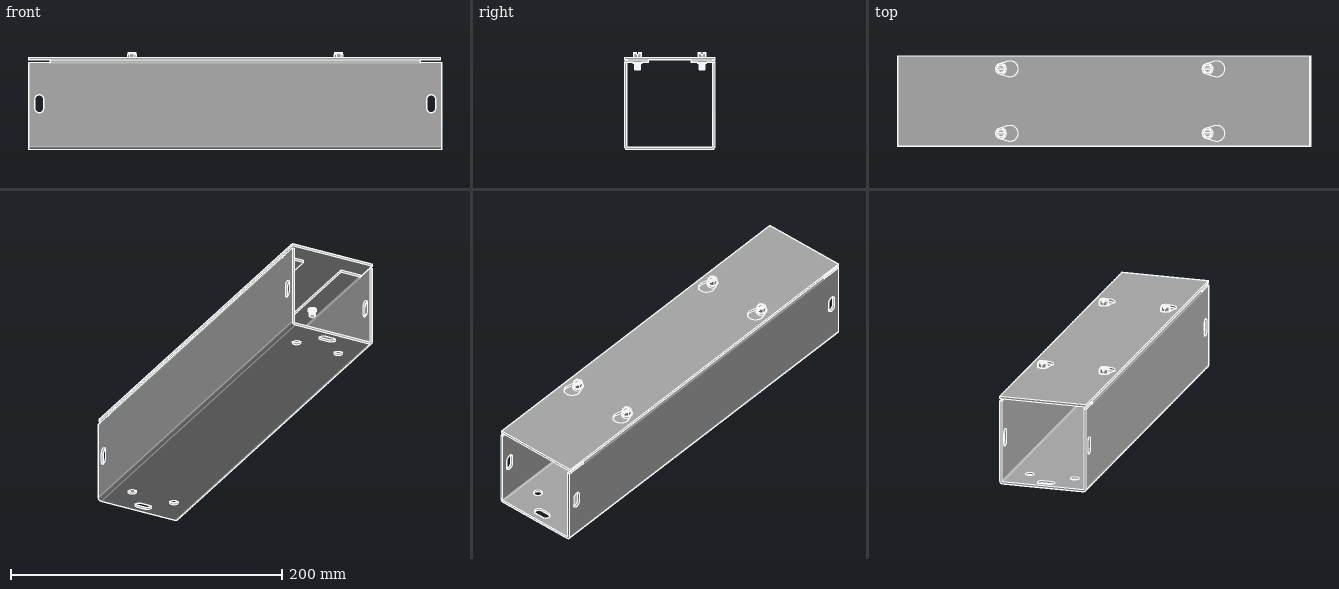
import cadquery as cq
import math

length = 304.8
width = 66.8
sheet = 1.8
bend_outer = 2.5
bend_inner = bend_outer - sheet
channel_height = 66.0
flange_width = 17.7
end_notch_length = 16.0
end_notch_depth = 1.8

slot_width = 6.5
slot_length = 13.0
slot_inset = 8.0
slot_height = 33.8
floor_hole_diameter = 6.5
floor_hole_inset = 23.5
floor_hole_y = 17.5

lid_length = 304.0

screw_x = 76.2
screw_y = 23.8
screw_positions = [(x, y) for x in (-screw_x, screw_x) for y in (-screw_y, screw_y)]
thread_diameter = 4.5
thread_root_diameter = 4.0
thread_pitch = 1.0
thread_turns = 8
washer_diameter = 8.0
washer_thickness = 1.5
head_top = 71.5
head_across_flats = 5.8
head_recess_diameter = 5.2
head_recess_depth = 0.5
driver_slot_width = 1.2
driver_slot_depth = 1.5

collar_diameter = 6.5
collar_height = 1.0

keyhole_large_diameter = 12.0
keyhole_large_radius = keyhole_large_diameter / 2
keyhole_small_radius = washer_diameter / 2
keyhole_offset = 6.7


def rounded_bar(bar_width, bottom, top, radius):
    """Bar along X with its four long edges rounded."""
    return (
        cq.Workplane("XY")
        .box(length, bar_width, top - bottom, centered=(True, True, False))
        .translate((0, 0, bottom))
        .edges("|X")
        .fillet(radius)
    )


def channel_shell():
    """Folded sheet with a long opening between the two flanges."""
    outer = rounded_bar(width, 0, channel_height, bend_outer)
    inner = rounded_bar(width - 2 * sheet, sheet, channel_height - sheet, bend_inner)
    opening = (
        cq.Workplane("XY")
        .workplane(offset=channel_height / 2)
        .rect(length, width - 2 * flange_width)
        .extrude(channel_height)
    )
    return outer.cut(inner).cut(opening)


def end_blocks(block_width, top):
    """Block at each end of the channel, from the top bend lines up to `top`."""
    bend_line = channel_height - bend_outer
    block_x = (length - end_notch_length) / 2
    return (
        cq.Workplane("XY")
        .workplane(offset=bend_line)
        .pushPoints([(-block_x, 0), (block_x, 0)])
        .rect(end_notch_length, block_width)
        .extrude(top - bend_line)
    )


def straight_wall_ends():
    """Unbent tops of the side walls where the flanges are cut short."""
    top = channel_height - end_notch_depth
    return end_blocks(width, top).cut(end_blocks(width - 2 * sheet, top))


def wall_slots():
    """Upright slots through both side walls at each end."""
    slot_x = length / 2 - slot_inset
    return (
        cq.Workplane("XZ")
        .pushPoints([(-slot_x, slot_height), (slot_x, slot_height)])
        .slot2D(slot_length, slot_width, 90)
        .extrude(width / 2, both=True)
    )


def floor_holes():
    """A crosswise slot and a pair of round holes through the floor at each end."""
    slot_x = length / 2 - slot_inset
    hole_x = length / 2 - floor_hole_inset
    slots = (
        cq.Workplane("XY")
        .pushPoints([(-slot_x, 0), (slot_x, 0)])
        .slot2D(slot_length, slot_width, 90)
        .extrude(sheet)
    )
    holes = (
        cq.Workplane("XY")
        .rect(2 * hole_x, 2 * floor_hole_y, forConstruction=True)
        .vertices()
        .circle(floor_hole_diameter / 2)
        .extrude(sheet)
    )
    return slots.union(holes)


def screw_cylinders(diameter, bottom, top):
    """One upright cylinder at each screw position."""
    return (
        cq.Workplane("XY")
        .workplane(offset=bottom)
        .pushPoints(screw_positions)
        .circle(diameter / 2)
        .extrude(top - bottom)
    )


def make_channel():
    flange_bottom = channel_height - sheet
    collar_bottom = flange_bottom - collar_height
    body = channel_shell().cut(end_blocks(width, channel_height)).union(straight_wall_ends())
    body = body.cut(wall_slots()).cut(floor_holes())
    body = body.union(screw_cylinders(collar_diameter, collar_bottom, flange_bottom))
    return body.cut(screw_cylinders(thread_diameter, collar_bottom, channel_height))


def keyhole(x, y):
    """Teardrop cutter: two arcs joined by their common tangents."""
    lean = math.acos((keyhole_large_radius - keyhole_small_radius) / keyhole_offset)
    across = math.sin(lean)
    back = math.cos(lean)
    large_x = x + keyhole_offset
    small_tangent_x = x - keyhole_small_radius * back
    large_tangent_x = large_x - keyhole_large_radius * back
    small_half = keyhole_small_radius * across
    large_half = keyhole_large_radius * across
    return (
        cq.Workplane("XY")
        .workplane(offset=channel_height)
        .moveTo(small_tangent_x, y + small_half)
        .lineTo(large_tangent_x, y + large_half)
        .threePointArc((large_x + keyhole_large_radius, y), (large_tangent_x, y - large_half))
        .lineTo(small_tangent_x, y - small_half)
        .threePointArc((x - keyhole_small_radius, y), (small_tangent_x, y + small_half))
        .close()
        .extrude(sheet)
    )


def make_lid():
    lid = (
        cq.Workplane("XY")
        .box(lid_length, width, sheet, centered=(False, True, False))
        .translate((-length / 2, 0, channel_height))
    )
    for x, y in screw_positions:
        lid = lid.cut(keyhole(x, y))
    return lid


def threaded_shank():
    """Shank with one V-shaped ring per pitch standing in for the thread."""
    crest = thread_diameter / 2
    root = thread_root_diameter / 2
    profile = cq.Workplane("XZ").moveTo(0, channel_height).lineTo(root, channel_height)
    for turn in range(thread_turns):
        ring_top = channel_height - turn * thread_pitch
        profile = profile.lineTo(crest, ring_top - thread_pitch / 2).lineTo(root, ring_top - thread_pitch)
    shank_bottom = channel_height - thread_turns * thread_pitch
    return profile.lineTo(0, shank_bottom).close().revolve(360, (0, 0), (0, 1))


def hex_head(bottom):
    """Slotted hex with two corners along X and a round recess in its top."""
    corner_radius = head_across_flats / math.sqrt(3)
    height = head_top - bottom
    prism = cq.Workplane("XY").polygon(6, 2 * corner_radius).extrude(height)
    recess = (
        cq.Workplane("XY")
        .workplane(offset=height - head_recess_depth)
        .circle(head_recess_diameter / 2)
        .extrude(head_recess_depth)
    )
    driver_slot = (
        cq.Workplane("XY")
        .workplane(offset=height - driver_slot_depth)
        .rect(2 * corner_radius, driver_slot_width)
        .extrude(driver_slot_depth)
    )
    return prism.cut(recess).cut(driver_slot).translate((0, 0, bottom))


def make_screw(x, y):
    washer = cq.Workplane("XY").workplane(offset=channel_height).circle(washer_diameter / 2)
    washer = washer.extrude(washer_thickness)
    head = hex_head(channel_height + washer_thickness)
    return threaded_shank().union(washer).union(head).translate((x, y, 0))


channel = make_channel()
lid = make_lid()
screws = [make_screw(x, y).val() for x, y in screw_positions]

result = cq.Compound.makeCompound([channel.val(), lid.val(), *screws])